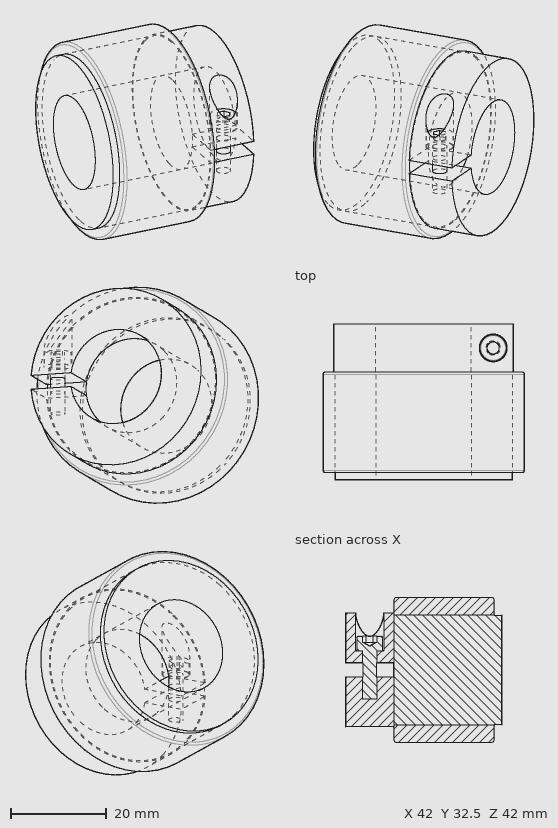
import cadquery as cq
import math


ring_diameter = 42.0
ring_width = 21.0
ring_edge_radius = 0.5
core_diameter = 37.0
core_lip = 1.5
bore_diameter = 20.0

hub_diameter = 37.5
hub_length = 10.0
slit_width = 2.95

screw_offset = 14.5
head_diameter = 5.5
head_edge_radius = 0.15
shank_diameter = 3.0
head_height = shank_diameter
shank_length = 10.0
socket_sides = 6
key_width = 2.5
socket_depth = 1.3
socket_tip_angle = 120.0
counterbore_diameter = 5.8

ring_front = core_lip
hub_front = ring_front + ring_width
hub_rear = hub_front + hub_length
screw_y = hub_front + hub_length / 2
rim_reach = screw_offset + counterbore_diameter / 2
head_top = math.sqrt((hub_diameter / 2) ** 2 - rim_reach**2)
head_seat = head_top - head_height


def tube(outer_diameter, inner_diameter, front, rear):
    """Tube around the Y axis from y = front to y = rear."""
    return (
        cq.Workplane("XZ", origin=(0, front, 0))
        .circle(outer_diameter / 2)
        .circle(inner_diameter / 2)
        .extrude(front - rear)
    )


def screw_cylinder(diameter, bottom, height):
    """Upright cylinder on the screw axis."""
    return (
        cq.Workplane("XY", origin=(screw_offset, screw_y, bottom))
        .circle(diameter / 2)
        .extrude(height)
    )


def make_ring():
    """Outer ring with both outer edges rounded."""
    sleeve = tube(ring_diameter, core_diameter, ring_front, hub_front)
    outer_edges = cq.selectors.RadiusNthSelector(-1)
    return sleeve.edges(outer_edges).fillet(ring_edge_radius)


def make_core():
    """Bored core that fills the ring and stands out at the front."""
    return tube(core_diameter, bore_diameter, 0, hub_front)


def make_hub():
    """Bored hub, slit on one side, with a counterbored blind hole for the cap screw across the slit."""
    slit = cq.Workplane("XY", origin=(0, hub_front, 0)).box(
        hub_diameter, hub_length, slit_width, centered=(False, False, True)
    )
    counterbore = screw_cylinder(counterbore_diameter, head_seat, hub_diameter / 2)
    shank_hole = screw_cylinder(shank_diameter, head_seat - shank_length, shank_length)
    blank = tube(hub_diameter, bore_diameter, hub_front, hub_rear)
    return blank.cut(slit).cut(counterbore).cut(shank_hole)


def make_socket():
    """Hexagon socket with corners toward +Y and -Y and a conical bottom."""
    socket_bottom = head_top - socket_depth
    across_corners = key_width / math.cos(math.pi / socket_sides)
    hexagon = (
        cq.Workplane("XY", origin=(screw_offset, screw_y, socket_bottom))
        .transformed(rotate=(0, 0, 90))
        .polygon(socket_sides, across_corners)
        .extrude(socket_depth)
    )
    tip_radius = key_width / 2
    tip_depth = tip_radius / math.tan(math.radians(socket_tip_angle / 2))
    tip = cq.Solid.makeCone(
        tip_radius, 0, tip_depth,
        pnt=cq.Vector(screw_offset, screw_y, socket_bottom),
        dir=cq.Vector(0, 0, -1),
    )
    return hexagon.union(cq.Workplane(tip))


def make_screw():
    """Socket head cap screw with a rounded head edge."""
    head = screw_cylinder(head_diameter, head_seat, head_height).edges(">Z").fillet(head_edge_radius)
    shank = screw_cylinder(shank_diameter, head_seat - shank_length, shank_length)
    return head.union(shank).cut(make_socket())


ring = make_ring()
core = make_core()
hub = make_hub()
screw = make_screw()

result = cq.Compound.makeCompound([ring.val(), core.val(), hub.val(), screw.val()])